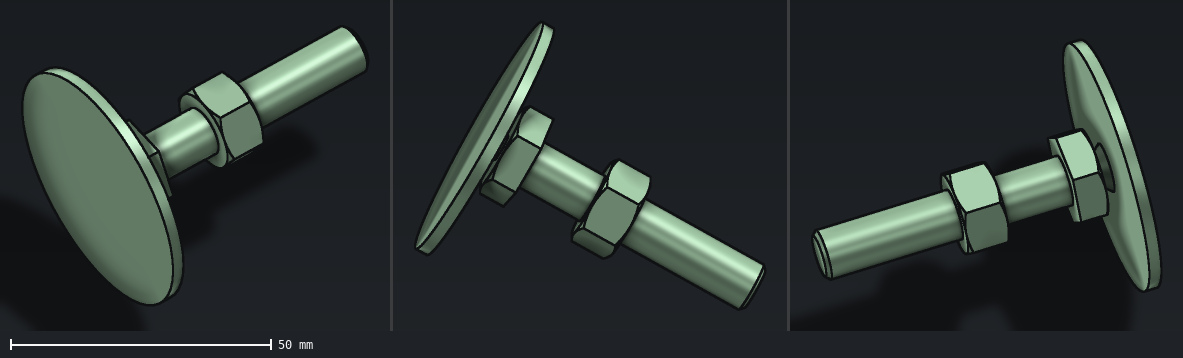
import cadquery as cq
import math

TOTAL_LENGTH = 61.0

PLATE_DIAMETER = 50.0
PLATE_THICKNESS = 2.5
NECK_BASE_DIAMETER = 9.75
NECK_TOP_DIAMETER = 5.25
NECK_HEIGHT = 2.5

ROD_DIAMETER = 10.0
ROD_CHAMFER = 0.85
HEAD_ACROSS_FLATS = 17.0
HEAD_HEIGHT = 6.0

NUT_ACROSS_FLATS = 16.0
NUT_HEIGHT = 8.4
NUT_START = 25.0
HEX_CHAMFER_ANGLE = 30.0

HEAD_START = PLATE_THICKNESS + NECK_HEIGHT
HEAD_END = HEAD_START + HEAD_HEIGHT


def along_y(body):
    """Turn a body built along +Z so that it points along +Y."""
    return body.rotate((0, 0, 0), (1, 0, 0), -90)


def hexagon(across_flats, start, height, chamfer_far_end):
    """Hexagonal prism with conical corner chamfers, with two flats facing +-Y before turning."""
    across_corners = across_flats / math.cos(math.radians(30))
    flat_radius = across_flats / 2
    corner_radius = across_corners / 2
    drop = (corner_radius - flat_radius) * math.tan(math.radians(HEX_CHAMFER_ANGLE))
    prism = cq.Workplane("XY").polygon(6, across_corners).extrude(height)

    profile = cq.Workplane("XZ").lineTo(flat_radius, 0).lineTo(corner_radius, drop)
    if chamfer_far_end:
        profile = profile.lineTo(corner_radius, height - drop).lineTo(flat_radius, height)
    else:
        profile = profile.lineTo(corner_radius, height)
    envelope = profile.lineTo(0, height).close().revolve(360, (0, 0), (0, 1))
    return prism.intersect(envelope).translate((0, 0, start))


def make_foot():
    """Round base plate with a conical neck that carries the spindle."""
    outline = (
        cq.Workplane("XZ")
        .lineTo(PLATE_DIAMETER / 2, 0)
        .lineTo(PLATE_DIAMETER / 2, PLATE_THICKNESS)
        .lineTo(NECK_BASE_DIAMETER / 2, PLATE_THICKNESS)
        .lineTo(NECK_TOP_DIAMETER / 2, HEAD_START)
        .lineTo(0, HEAD_START)
        .close()
    )
    return along_y(outline.revolve(360, (0, 0), (0, 1)))


def make_spindle():
    """Rod with a hexagon head at the foot end and a chamfered free end."""
    head = hexagon(HEAD_ACROSS_FLATS, HEAD_START, HEAD_HEIGHT, chamfer_far_end=False)
    rod = (
        cq.Workplane("XY")
        .workplane(offset=HEAD_END)
        .circle(ROD_DIAMETER / 2)
        .extrude(TOTAL_LENGTH - HEAD_END)
        .faces(">Z")
        .chamfer(ROD_CHAMFER)
    )
    return along_y(head.union(rod))


def make_nut():
    """Hexagon lock nut, chamfered at both ends and bored to fit the rod."""
    blank = hexagon(NUT_ACROSS_FLATS, NUT_START, NUT_HEIGHT, chamfer_far_end=True)
    nut = blank.faces(">Z").workplane().hole(ROD_DIAMETER)
    return along_y(nut)


foot = make_foot()
spindle = make_spindle()
nut = make_nut()

result = cq.Compound.makeCompound([foot.val(), spindle.val(), nut.val()])